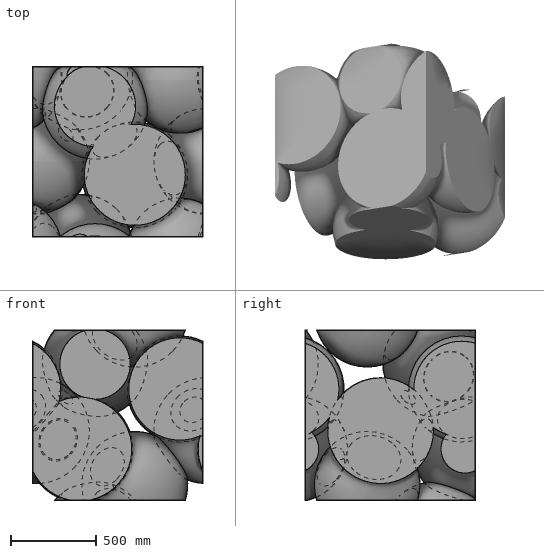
import cadquery as cq

CELL_SIZE = 1000.0
SPHERE_RADIUS = 311.0

NEIGHBOUR_SHIFTS = (-1, 0, 1)

SPHERE_CENTRES = [
    (366.5, 767.5, 799.8),
    (600.0, 364.7, 1093.5),
    (277.3, 939.0, 301.4),
    (22.4, 443.2, 409.6),
    (865.0, 918.4, 654.2),
]


def periodic_positions(coordinate):
    """Repeats of a centre coordinate whose sphere reaches into the cell along one axis."""
    repeats = [coordinate + shift * CELL_SIZE for shift in NEIGHBOUR_SHIFTS]
    return [p for p in repeats if -SPHERE_RADIUS < p < CELL_SIZE + SPHERE_RADIUS]


def reaches_cell(centre):
    """True when the sphere at this centre overlaps the inside of the cell."""
    gaps = [max(-p, p - CELL_SIZE, 0.0) for p in centre]
    return sum(gap**2 for gap in gaps) < SPHERE_RADIUS**2


def periodic_images(centre):
    """All repeats of one sphere centre that put material inside the cell."""
    xs, ys, zs = (periodic_positions(p) for p in centre)
    images = [(x, y, z) for x in xs for y in ys for z in zs]
    return [image for image in images if reaches_cell(image)]


def ball_at(centre):
    """One full ball, made of two half balls that meet on its XZ mid-plane."""
    half_ball = cq.Workplane("XY").sphere(SPHERE_RADIUS, angle3=180)
    ball = half_ball.union(half_ball.mirror("XZ"), clean=False)
    return ball.translate(centre)


def sphere_packing():
    """All the balls joined and then cut off at the walls of the cell."""
    images = [image for centre in SPHERE_CENTRES for image in periodic_images(centre)]
    first, *others = (ball_at(image).val() for image in images)
    packing = cq.Workplane(first.fuse(*others))
    cell = cq.Workplane("XY").box(CELL_SIZE, CELL_SIZE, CELL_SIZE, centered=False)
    return packing.intersect(cell, clean=False).solids()


result = sphere_packing()